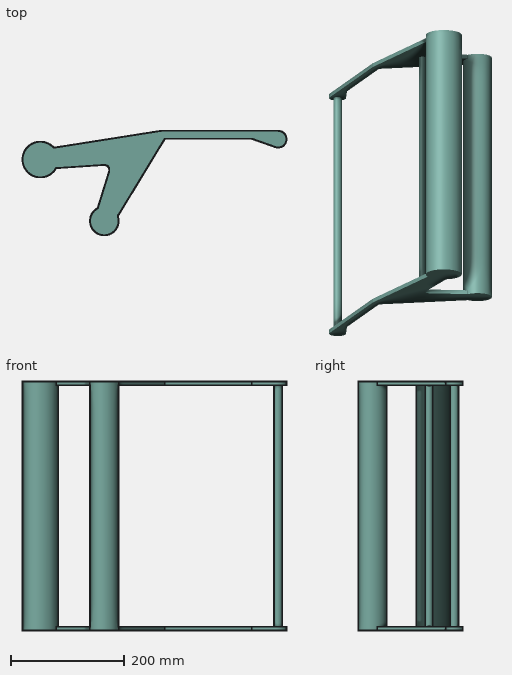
import cadquery as cq
import math

overall_depth = 184.8
height = 440.0
plate_thickness = 7.0

main_post_diameter = 63.5
side_post_diameter = 51.0

tip_radius = 15.0
tip_center = (420.0, 36.0)
tip_rod_diameter = 15.0

side_post_x = 113.0
side_post_y = tip_center[1] + tip_radius - overall_depth + side_post_diameter / 2
side_post_center = (side_post_x, side_post_y)

notch_corner = (125.0, -9.0)
notch_radius = 9.0
notch_rod_diameter = 12.5

main_arm_upper_root = (23.5, 21.0)
main_arm_lower_root = (28.5, -15.5)
side_arm_left_root = (101.5, -84.0)
side_arm_right_root = (136.5, -100.5)
upper_bend_x = 212.7
lower_bend = (219.7, 36.5)
flare_start = (373.5, lower_bend[1])


def lower_tip_tangent():
    """Point where the flared lower edge runs tangentially into the round tip."""
    dx = flare_start[0] - tip_center[0]
    dy = flare_start[1] - tip_center[1]
    angle = math.atan2(dy, dx) + math.acos(tip_radius / math.hypot(dx, dy))
    return (
        tip_center[0] + tip_radius * math.cos(angle),
        tip_center[1] + tip_radius * math.sin(angle),
    )


def end_plate(base_z):
    """Three-armed plate joining the posts and rods."""
    tip_top = (tip_center[0], tip_center[1] + tip_radius)
    tip_end = (tip_center[0] + tip_radius, tip_center[1])
    plate = (
        cq.Workplane("XY", origin=(0, 0, base_z))
        .moveTo(0, 0)
        .lineTo(*main_arm_upper_root)
        .lineTo(upper_bend_x, tip_top[1])
        .lineTo(*tip_top)
        .threePointArc(tip_end, lower_tip_tangent())
        .lineTo(*flare_start)
        .lineTo(*lower_bend)
        .lineTo(*side_arm_right_root)
        .lineTo(*side_post_center)
        .lineTo(*side_arm_left_root)
        .lineTo(*notch_corner)
        .lineTo(*main_arm_lower_root)
        .close()
        .extrude(plate_thickness)
    )
    notch_edge = cq.selectors.NearestToPointSelector((*notch_corner, base_z + plate_thickness / 2))
    return plate.edges("|Z").edges(notch_edge).fillet(notch_radius)


def post(center, diameter):
    """Full-height cylinder, flush with the outer faces of both plates."""
    return cq.Workplane("XY").center(*center).circle(diameter / 2).extrude(height)


def rod(center, diameter):
    """Thin cylinder spanning the gap between the inner faces of the plates."""
    gap = height - 2 * plate_thickness
    return (
        cq.Workplane("XY", origin=(*center, plate_thickness))
        .circle(diameter / 2)
        .extrude(gap)
    )


result = (
    post((0, 0), main_post_diameter)
    .union(post(side_post_center, side_post_diameter))
    .union(end_plate(0))
    .union(end_plate(height - plate_thickness))
    .union(rod(tip_center, tip_rod_diameter))
    .union(rod(notch_corner, notch_rod_diameter))
)